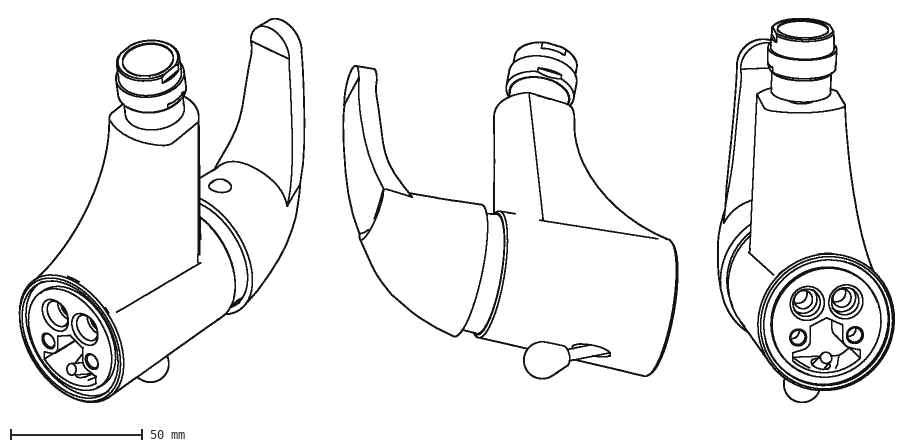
import cadquery as cq
import math


base_radius = 26.43
barrel_length = 68.0
barrel_back_radius = 24.3
back_axis_z = 2.3
barrel_edge = 0.9
barrel_overrun = 3.0

neck_radius = 23.0
neck_end_radius = 22.1
neck_end_y = 80.0

groove_outer_radius = 24.3
groove_inner_radius = 21.1
groove_depth = 2.2
port_x = 7.5
port_z = 7.8
port_radius = 5.3
port_mouth_radius = 6.6
port_depth = 7.3
port_bore_radius = 3.5
port_bore_depth = 17.5
screw_x = 11.0
screw_z = -5.3
screw_radius = 2.8
screw_mouth_radius = 3.2
screw_depth = 11.7
pocket_apex_z = 1.9
pocket_shoulder_x = 6.3
pocket_shoulder_z = -1.2
pocket_waist_z = -6.7
pocket_curl_x = 7.3
pocket_curl_z = -9.1
pocket_root_x = 8.8
pocket_root_z = -10.0
pocket_wing_x = 13.0
pocket_wing_z = -11.1
pocket_bottom_radius = 19.3
pocket_depth = 20.5
pocket_floor_rise = 2.2

spout_back_y = 64.3
spout_front_y = 1.5
spout_low_z = 11.7
spout_low_half_width = 19.6
spout_low_flat_end_y = 51.0
spout_high_z = 82.0
spout_high_half_width = 15.2
spout_high_flat_end_y = 56.2
spout_top_z = 79.0
spout_tilt = 9.0
throat_radius = 46.8
throat_y = -12.5
throat_z = 71.0
throat_crown_radius = 27.8
throat_half_width = 23.4
spout_edge_fillet = 4.7
spout_root_fillet = 2.2

front_edge_region = ((-29.3, 1.8, 17.5), (29.3, 43.9, 87.8))
back_root_region = ((-29.3, 43.9, 12.5), (29.3, 65.9, 36.6))

nozzle_y = 48.5
nozzle_gap = 3.1
stem_radius = 5.0
stem_embedding = 1.5
collar_radius = 11.3
collar_height = 8.6
flange_radius = 13.0
flange_height = 9.0
flange_chamfer = 1.5
tip_radius = 12.0
tip_height = 7.8
tip_chamfer = 0.6
outlet_radius = 9.7
outlet_depth = 0.5
wrench_flat_width = 9.4
wrench_flat_height = 3.2

rim_y = 74.2
rim_tilt = 2.6
handle_top_z = 28.0
socket_radius = 23.1
lever_tip_half_width = 9.8
lever_tip_z = 75.5
lever_tip_front_y = 114.3
lever_tip_back_y = 121.5
button_y = 85.8
button_radius = 5.0
button_height = 2.2

knob_y = 46.0
knob_z = -33.0
knob_radius = 7.0
knob_end_radius = 3.8
knob_end_distance = 10.0
knob_end_fillet = 0.7
rod_radius = 2.2
rod_length = 49.0
rod_slope = 23.0
rod_hole_radius = 3.4

trim_size = 292.8

Y_AXIS = cq.Vector(0, 1, 0)


def cylinder_y(radius, y_start, length, x=0.0, z=0.0):
    return cq.Workplane(cq.Solid.makeCylinder(radius, length, cq.Vector(x, y_start, z), Y_AXIS))


def cone_y(radius_start, radius_end, y_start, length, x=0.0, z=0.0):
    start = cq.Vector(x, y_start, z)
    return cq.Workplane(cq.Solid.makeCone(radius_start, radius_end, length, start, Y_AXIS))


def plane_y(y):
    """Plane across Y whose local axes are X and Z."""
    return cq.Plane((0, y, 0), (1, 0, 0), (0, -1, 0))



def rod_direction():
    slope = math.radians(rod_slope)
    return cq.Vector(0, -math.cos(slope), math.sin(slope))


def along_rod(radius):
    """Cylinder from the knob centre along the rod axis."""
    knob_centre = cq.Vector(0, knob_y, knob_z)
    return cq.Workplane(cq.Solid.makeCylinder(radius, rod_length, knob_centre, rod_direction()))


def make_lift_rod():
    """Ball knob that tapers tangentially to a rounded end, with the rod standing in it."""
    taper = math.asin((knob_radius - knob_end_radius) / knob_end_distance)
    tangent_radius = knob_radius * math.cos(taper)
    tangent_distance = knob_radius * math.sin(taper)
    axis_plane = cq.Plane((0, knob_y, knob_z), (1, 0, 0), rod_direction().toTuple())
    ball = cq.Workplane(axis_plane).sphere(knob_radius)
    cone = cq.Workplane(
        cq.Solid.makeCone(
            tangent_radius,
            knob_end_radius,
            knob_end_distance - tangent_distance,
            cq.Vector(0, knob_y, knob_z) + rod_direction() * tangent_distance,
            rod_direction(),
        )
    )
    end_face = cq.selectors.DirectionMinMaxSelector(rod_direction(), True)
    cone = cone.faces(end_face).edges().fillet(knob_end_fillet)
    return ball.union(cone).union(along_rod(rod_radius))



def make_barrel():
    axis = cq.Vector(0, barrel_length, back_axis_z)
    radius_growth = (base_radius - barrel_back_radius) / axis.Length * barrel_overrun
    cone = cq.Solid.makeCone(
        base_radius + radius_growth,
        barrel_back_radius - radius_growth,
        axis.Length + 2 * barrel_overrun,
        axis.normalized() * -barrel_overrun,
        axis,
    )
    ends = cylinder_y(2 * base_radius, 0, barrel_length)
    return cq.Workplane(cone).intersect(ends).faces("<Y or >Y").chamfer(barrel_edge)


def make_neck():
    length = neck_end_y - barrel_length
    return cone_y(neck_radius, neck_end_radius, barrel_length, length, 0, back_axis_z)


def spout_section(z, half_width, flat_end_y):
    """Plan outline of the spout: straight sides closed by a round back."""
    return (
        cq.Workplane("XY", origin=(0, 0, z))
        .moveTo(-half_width, spout_front_y)
        .lineTo(-half_width, flat_end_y)
        .threePointArc((0, spout_back_y), (half_width, flat_end_y))
        .lineTo(half_width, spout_front_y)
        .close()
        .val()
    )


def make_throat_cutter():
    """Material removed in front of the spout: a swept arc with a hollowed rim, then straight up."""
    crown_drop = throat_crown_radius - math.sqrt(throat_crown_radius**2 - throat_half_width**2)
    edge_y = throat_y + throat_radius + crown_drop
    outline = (
        cq.Workplane("XY", origin=(0, 0, throat_z))
        .moveTo(-throat_half_width, throat_y)
        .lineTo(-throat_half_width, edge_y)
        .threePointArc((0, throat_y + throat_radius), (throat_half_width, edge_y))
        .lineTo(throat_half_width, throat_y)
        .close()
        .val()
    )
    axis_start = cq.Vector(0, throat_y, throat_z)
    axis_end = cq.Vector(1.5, throat_y, throat_z)
    ring = cq.Workplane(cq.Solid.revolve(outline, [], 360, axis_start, axis_end))
    riser = cq.Workplane(cq.Solid.extrudeLinear(outline, [], cq.Vector(0, 0, throat_radius)))
    return ring.union(riser)


def make_spout():
    low = spout_section(spout_low_z, spout_low_half_width, spout_low_flat_end_y)
    high = spout_section(spout_high_z, spout_high_half_width, spout_high_flat_end_y)
    spout = cq.Workplane(cq.Solid.makeLoft([low, high], True))
    top_cutter = (
        cq.Workplane("XY")
        .box(trim_size, trim_size, trim_size, centered=(True, True, False))
        .rotate((0, 0, 0), (1, 0, 0), spout_tilt)
        .translate((0, spout_back_y, spout_top_z))
    )
    spout = spout.cut(make_throat_cutter())
    front_edges = spout.edges(cq.selectors.BoxSelector(*front_edge_region)).edges("not %CIRCLE")
    return front_edges.fillet(spout_edge_fillet).cut(top_cutter)


def flatten(body, radius, z_start):
    """Cut a pair of wrench flats, facing -X and +X, into a round body standing on the Z axis."""
    flat_x = math.sqrt(radius**2 - (wrench_flat_width / 2) ** 2)
    for side in (-1, 1):
        block = cq.Workplane("XY").box(radius, trim_size, wrench_flat_height, centered=(True, True, False))
        body = body.cut(block.translate((side * (flat_x + radius / 2), 0, z_start)))
    return body


def make_nozzle():
    stem_bottom = -nozzle_gap - stem_embedding
    flange_z = collar_height
    tip_z = flange_z + flange_height
    top_z = tip_z + tip_height
    outlet_z = top_z - outlet_depth
    stem = cq.Workplane("XY", origin=(0, 0, stem_bottom)).circle(stem_radius).extrude(-stem_bottom)
    collar = cq.Workplane("XY").circle(collar_radius).extrude(collar_height)
    flange = cq.Workplane("XY", origin=(0, 0, flange_z)).circle(flange_radius).extrude(flange_height)
    flange = flange.faces("<Z").chamfer(flange_chamfer)
    flange = flatten(flange, flange_radius, flange_z)
    tip = cq.Workplane("XY", origin=(0, 0, tip_z)).circle(tip_radius).extrude(tip_height)
    tip = tip.faces(">Z").chamfer(tip_chamfer)
    tip = flatten(tip, tip_radius, top_z - wrench_flat_height)
    outlet = cq.Workplane("XY", origin=(0, 0, outlet_z)).circle(outlet_radius).extrude(outlet_depth)
    nozzle = stem.union(collar).union(flange).union(tip.cut(outlet))
    top_drop = (spout_back_y - nozzle_y) * math.tan(math.radians(spout_tilt))
    foot_z = spout_top_z - top_drop + nozzle_gap / math.cos(math.radians(spout_tilt))
    return nozzle.rotate((0, 0, 0), (1, 0, 0), spout_tilt).translate((0, nozzle_y, foot_z))


def make_groove():
    outer = cylinder_y(groove_outer_radius, 0, groove_depth)
    return outer.cut(cylinder_y(groove_inner_radius, 0, groove_depth))


def make_stepped_hole(mouth_radius, radius, depth, x, z):
    """Hole into the mounting face with a 45 degree mouth."""
    mouth = cone_y(mouth_radius, radius, 0, mouth_radius - radius, x, z)
    return mouth.union(cylinder_y(radius, 0, depth, x, z))


def make_pocket():
    """Arrow-shaped pocket; its wings curl round the screw holes and its floor rises inwards."""
    wing_low_z = -math.sqrt(pocket_bottom_radius**2 - pocket_wing_x**2)
    pocket = (
        cq.Workplane(plane_y(0))
        .moveTo(0, pocket_apex_z)
        .lineTo(pocket_shoulder_x, pocket_shoulder_z)
        .lineTo(pocket_shoulder_x, pocket_waist_z)
        .threePointArc((pocket_curl_x, pocket_curl_z), (pocket_root_x, pocket_root_z))
        .lineTo(pocket_wing_x, pocket_wing_z)
        .lineTo(pocket_wing_x, wing_low_z)
        .threePointArc((0, -pocket_bottom_radius), (-pocket_wing_x, wing_low_z))
        .lineTo(-pocket_wing_x, pocket_wing_z)
        .lineTo(-pocket_root_x, pocket_root_z)
        .threePointArc((-pocket_curl_x, pocket_curl_z), (-pocket_shoulder_x, pocket_waist_z))
        .lineTo(-pocket_shoulder_x, pocket_shoulder_z)
        .close()
        .extrude(-pocket_depth)
    )
    floor_wedge = (
        cq.Workplane("YZ")
        .moveTo(0, -pocket_bottom_radius)
        .lineTo(pocket_depth, -pocket_bottom_radius)
        .lineTo(pocket_depth, pocket_floor_rise - pocket_bottom_radius)
        .close()
        .extrude(pocket_wing_x, both=True)
    )
    return pocket.cut(floor_wedge)


def make_housing():
    housing = make_barrel().union(make_spout())
    root_edges = housing.edges(cq.selectors.BoxSelector(*back_root_region))
    housing = root_edges.fillet(spout_root_fillet)
    housing = housing.union(make_neck()).union(make_nozzle())
    housing = housing.cut(make_groove()).cut(make_pocket())
    for side in (-1, 1):
        port = make_stepped_hole(port_mouth_radius, port_radius, port_depth, side * port_x, port_z)
        port_bore = cylinder_y(port_bore_radius, 0, port_bore_depth, side * port_x, port_z)
        screw_hole = make_stepped_hole(
            screw_mouth_radius, screw_radius, screw_depth, side * screw_x, screw_z
        )
        housing = housing.cut(port).cut(port_bore).cut(screw_hole)
    return housing.cut(along_rod(rod_hole_radius))



hub_sections = [
    (73.2, -23.5, 25.6),
    (84.2, -20.3, 24.6),
    (92.8, -15.8, 23.1),
    (103.7, -6.0, 20.8),
    (110.1, 5.9, 18.2),
    (113.6, 14.6, 16.0),
]

lever_sections = [
    (-3.0, 14.6, 84.9, 3.0, 14.6, 103.2, 5.9),
    (8.8, 18.3, 96.6, 3.0, 16.4, 111.4, 5.0),
    (20.5, 18.3, 104.2, 4.4, 16.1, 115.0, 2.2),
    (32.2, 15.1, 110.0, 3.8, 14.5, 118.5, 1.2),
    (46.8, 12.5, 112.9, 2.0, 12.3, 120.9, 0.7),
    (64.4, 10.4, 114.2, 0.6, 10.4, 122.1, 0.5),
    (
        lever_tip_z,
        lever_tip_half_width,
        lever_tip_front_y,
        0.1,
        lever_tip_half_width,
        lever_tip_back_y,
        0.1,
    ),
]


def hub_section(y, low_z, half_width):
    half_height = (handle_top_z - low_z) / 2
    return (
        cq.Workplane(plane_y(y))
        .center(0, handle_top_z - half_height)
        .ellipse(half_width, half_height)
        .val()
    )


def lever_section(z, front_half_width, front_y, front_bulge, back_half_width, back_y, back_bulge):
    back_edge_y = back_y - back_bulge
    return (
        cq.Workplane("XY", origin=(0, 0, z))
        .moveTo(-front_half_width, front_y)
        .threePointArc((0, front_y - front_bulge), (front_half_width, front_y))
        .lineTo(back_half_width, back_edge_y)
        .threePointArc((0, back_y), (-back_half_width, back_edge_y))
        .close()
        .val()
    )


def make_handle():
    hub = cq.Workplane(cq.Solid.makeLoft([hub_section(*section) for section in hub_sections]))
    lever = cq.Workplane(cq.Solid.makeLoft([lever_section(*section) for section in lever_sections]))
    tip = (
        cq.Workplane(plane_y(lever_tip_front_y))
        .moveTo(-lever_tip_half_width, lever_tip_z)
        .threePointArc((0, lever_tip_z + lever_tip_half_width), (lever_tip_half_width, lever_tip_z))
        .close()
        .extrude(lever_tip_front_y - lever_tip_back_y)
    )
    button_z = handle_top_z + button_height - button_radius
    button = cq.Workplane("XY", origin=(0, button_y, button_z)).sphere(button_radius)
    handle = hub.union(lever).union(tip).union(button)
    rim_cutter = (
        cq.Workplane("XY")
        .box(trim_size, trim_size, trim_size)
        .translate((0, -trim_size / 2, 0))
        .rotate((0, 0, 0), (1, 0, 0), rim_tilt)
        .translate((0, rim_y, handle_top_z))
    )
    socket = cylinder_y(socket_radius, barrel_length, neck_end_y - barrel_length, 0, back_axis_z)
    return handle.cut(rim_cutter).cut(socket)


housing = make_housing()
handle = make_handle()
lift_rod = make_lift_rod()

result = cq.Compound.makeCompound([housing.val(), handle.val(), lift_rod.val()])